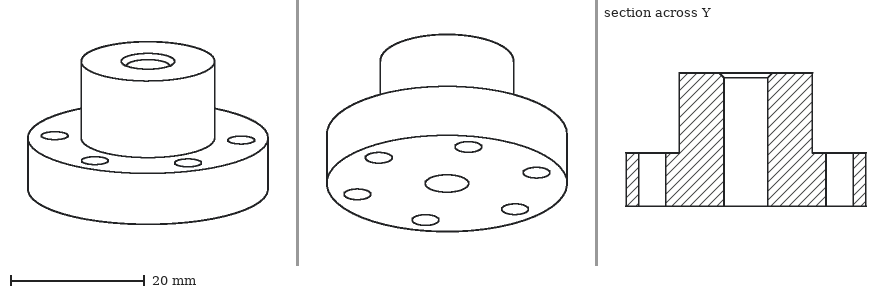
import cadquery as cq

flange_diameter = 36.0
flange_thickness = 8.0

hub_diameter = 20.0
hub_height = 12.0
total_height = flange_thickness + hub_height

bore_diameter = 6.5
bore_mouth_diameter = 8.0
bore_chamfer = (bore_mouth_diameter - bore_diameter) / 2

mounting_hole_count = 6
mounting_hole_diameter = 4.0
mounting_circle_diameter = 28.0


def make_body():
    """Round flange on the XY plane with the hub on top."""
    flange = cq.Workplane("XY").circle(flange_diameter / 2).extrude(flange_thickness)
    return flange.faces(">Z").workplane().circle(hub_diameter / 2).extrude(hub_height)


def make_bore():
    """Cutter for the bore and its chamfered mouth, flush with the hub top."""
    bore = cq.Workplane("XY").circle(bore_diameter / 2).extrude(total_height)
    mouth = (
        cq.Workplane("XY")
        .workplane(offset=total_height - bore_chamfer)
        .circle(bore_diameter / 2)
        .workplane(offset=bore_chamfer)
        .circle(bore_mouth_diameter / 2)
        .loft(ruled=True)
    )
    return bore.union(mouth)


def make_mounting_holes():
    """Cutters evenly spaced around the flange, the first one on the +X axis."""
    return (
        cq.Workplane("XY")
        .polarArray(mounting_circle_diameter / 2, 0, 360, mounting_hole_count)
        .circle(mounting_hole_diameter / 2)
        .extrude(flange_thickness)
    )


result = make_body().cut(make_bore()).cut(make_mounting_holes())